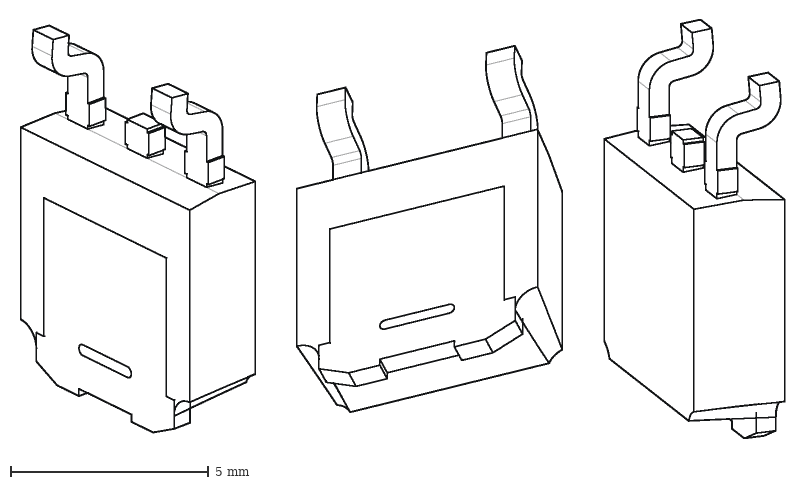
import cadquery as cq
import math


housing_width = 6.5
housing_depth = 2.4
housing_bottom = 0.75
parting_height = 6.84
parting_depth = 1.08
draft = math.tan(math.radians(5))
corner_radius = 0.6

metal_thickness = 0.54
tab_width = 5.3
tab_shoulder_height = 1.2
tab_pad_width = 4.7
tab_top = 5.08
tab_end_width = 3.69
tab_bevel_height = 0.39
notch_width = 2.01
notch_depth = 0.2
slot_length = 2.01
slot_width = 0.3

lead_pitch = 2.28
lead_width = 0.77
collar_width = 0.9
collar_bottom = 6.94
collar_top = 7.56
stub_top = 7.66
lead_top = 9.72
lead_front = parting_depth
lead_back = lead_front + metal_thickness
inner_bend_radius = 0.16
outer_bend_radius = inner_bend_radius + metal_thickness
bend_height = 8.29
run_angle = math.radians(9)
tip_angle = math.radians(5)
upper_bend_y = 0.57


def extrude_across(profile, width):
    """Extrude a YZ profile by the given width, centred on X = 0."""
    return profile.extrude(width / 2, both=True)


def slot_prism():
    """Round-ended slot through the tab, resting on the shoulder level."""
    slot_height = tab_shoulder_height + slot_width / 2
    return (
        cq.Workplane("XZ")
        .center(0, slot_height)
        .slot2D(slot_length, slot_width)
        .extrude(-metal_thickness)
    )


def make_tab():
    """Stepped plate with bevelled lower corners, an end notch and a locking slot."""
    outline = [
        (notch_width / 2, notch_depth),
        (notch_width / 2, 0),
        (tab_end_width / 2, 0),
        (tab_width / 2, tab_bevel_height),
        (tab_width / 2, tab_shoulder_height),
        (tab_pad_width / 2, tab_shoulder_height),
        (tab_pad_width / 2, tab_top),
    ]
    mirrored = [(-x, z) for x, z in reversed(outline)]
    plate = cq.Workplane("XZ").polyline(outline + mirrored).close().extrude(-metal_thickness)
    return plate.cut(slot_prism())


def make_housing(tab):
    """Drafted moulding with scooped lower corners; it surrounds the tab and fills its slot."""
    side_profile = cq.Workplane("YZ").polyline([
        (0, housing_bottom),
        (0, parting_height - parting_depth * draft),
        (parting_depth, parting_height),
        (housing_depth, parting_height - (housing_depth - parting_depth) * draft),
        (housing_depth, housing_bottom + housing_depth * draft),
    ]).close()
    front_half = housing_width / 2
    back_half = front_half - housing_depth * draft
    plan_profile = cq.Workplane("XY").polyline([
        (-front_half, 0),
        (front_half, 0),
        (back_half, housing_depth),
        (-back_half, housing_depth),
    ]).close()
    block = extrude_across(side_profile, housing_width).intersect(plan_profile.extrude(parting_height))
    corner_scoops = (
        cq.Workplane("XZ")
        .pushPoints([(-front_half, housing_bottom), (front_half, housing_bottom)])
        .circle(corner_radius)
        .extrude(-housing_depth)
    )
    return block.cut(corner_scoops).cut(tab)


def lead_foot():
    """Back and front lower corners of a lead, where it meets the sloped housing top."""
    back_corner = (lead_back, parting_height - metal_thickness * draft)
    front_corner = (lead_front, parting_height)
    return back_corner, front_corner


def make_collar():
    """Slightly wider stretch of a lead just above the housing."""
    return cq.Workplane("XY").box(
        collar_width, metal_thickness, collar_top - collar_bottom, centered=(True, False, False)
    ).translate((0, lead_front, collar_bottom))


def make_stub_lead():
    """Straight middle lead, cropped just above its collar."""
    back_foot, front_foot = lead_foot()
    profile = cq.Workplane("YZ").polyline([
        front_foot,
        back_foot,
        (lead_back, stub_top),
        (lead_front, stub_top),
    ]).close()
    return extrude_across(profile, lead_width).union(make_collar())


def make_bent_lead(x):
    """Lead bent forwards and then up again, so that its tip lies in front of the mounting face."""
    back_foot, front_foot = lead_foot()
    lower_bend_y = lead_back - outer_bend_radius

    bend_gap = outer_bend_radius + inner_bend_radius
    bend_rise = (bend_gap + (lower_bend_y - upper_bend_y) * math.sin(run_angle)) / math.cos(run_angle)
    upper_bend_z = bend_height + bend_rise

    def on_lower_bend(radius, angle):
        return lower_bend_y + radius * math.cos(angle), bend_height + radius * math.sin(angle)

    def on_upper_bend(radius, angle):
        return upper_bend_y - radius * math.cos(angle), upper_bend_z - radius * math.sin(angle)

    run_normal = math.pi / 2 - run_angle
    lower_middle = run_normal / 2
    upper_middle = (run_normal - tip_angle) / 2
    tip_normal = -tip_angle
    back_run_start = on_lower_bend(outer_bend_radius, run_normal)
    back_run_end = on_upper_bend(inner_bend_radius, run_normal)
    front_run_end = on_upper_bend(outer_bend_radius, run_normal)
    front_run_start = on_lower_bend(inner_bend_radius, run_normal)

    front_y, front_z = on_upper_bend(outer_bend_radius, tip_normal)
    tip_front = (front_y + (lead_top - front_z) * math.tan(tip_angle), lead_top)
    tip_back = (
        tip_front[0] + metal_thickness * math.cos(tip_angle),
        tip_front[1] - metal_thickness * math.sin(tip_angle),
    )

    profile = (
        cq.Workplane("YZ")
        .moveTo(*back_foot)
        .lineTo(lead_back, bend_height)
        .threePointArc(on_lower_bend(outer_bend_radius, lower_middle), back_run_start)
        .lineTo(*back_run_end)
        .threePointArc(
            on_upper_bend(inner_bend_radius, upper_middle),
            on_upper_bend(inner_bend_radius, tip_normal),
        )
        .lineTo(*tip_back)
        .lineTo(*tip_front)
        .lineTo(front_y, front_z)
        .threePointArc(on_upper_bend(outer_bend_radius, upper_middle), front_run_end)
        .lineTo(*front_run_start)
        .threePointArc(on_lower_bend(inner_bend_radius, lower_middle), (lead_front, bend_height))
        .lineTo(*front_foot)
        .close()
    )
    return extrude_across(profile, lead_width).union(make_collar()).translate((x, 0, 0))


tab = make_tab()
housing = make_housing(tab)
stub_lead = make_stub_lead()
bent_leads = [make_bent_lead(x) for x in (-lead_pitch, lead_pitch)]

result = cq.Compound.makeCompound([
    housing.solids().val(),
    tab.solids().val(),
    stub_lead.solids().val(),
    *[lead.solids().val() for lead in bent_leads],
])